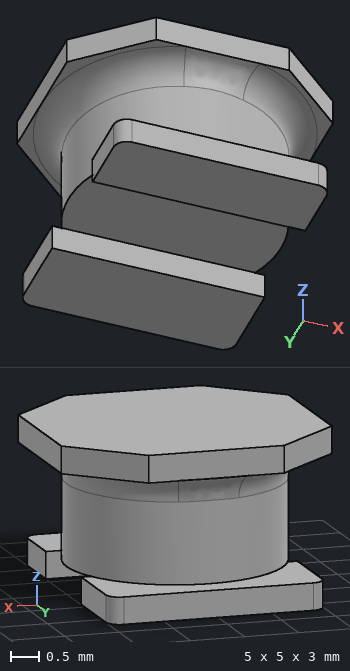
import cadquery as cq

length = 5.0
height = 3.0
layer = 0.5
core_radius = 2.0
flare_gap = 0.0005
plate_depth = 4.8
plate_flat = 2.5
pad_corner_radius = 0.25
back_pad_depth = 1.675
front_pad_depth = 1.3

plate_bottom = height - layer
flare_radius = length / 2 - core_radius - flare_gap
pad_width = 2 * core_radius


def octagon(bottom, thickness):
    """Octagonal prism, slightly shorter in Y than in X."""
    half_x = length / 2
    half_y = plate_depth / 2
    half_flat = plate_flat / 2
    points = [
        (half_x, half_flat),
        (half_flat, half_y),
        (-half_flat, half_y),
        (-half_x, half_flat),
        (-half_x, -half_flat),
        (-half_flat, -half_y),
        (half_flat, -half_y),
        (half_x, -half_flat),
    ]
    return cq.Workplane("XY").workplane(offset=bottom).polyline(points).close().extrude(thickness)


def flanged_core():
    """Round core under the plate, joined to it by a concave fillet trimmed by the plate sides."""
    core = cq.Workplane("XY").workplane(offset=layer).circle(core_radius).extrude(plate_bottom - layer)
    return core.union(octagon(plate_bottom, layer)).edges("%CIRCLE").edges(">Z").fillet(flare_radius)


def pad(depth, side):
    """Terminal pad on the +Y (side = 1) or -Y (side = -1) edge, with rounded outer corners."""
    center_y = side * (length - depth) / 2
    outer_corners = "|Z and >Y" if side > 0 else "|Z and <Y"
    return (
        cq.Workplane("XY")
        .box(pad_width, depth, layer, centered=(True, True, False))
        .translate((0, center_y, 0))
        .edges(outer_corners)
        .fillet(pad_corner_radius)
    )


result = flanged_core().union(pad(back_pad_depth, 1)).union(pad(front_pad_depth, -1))